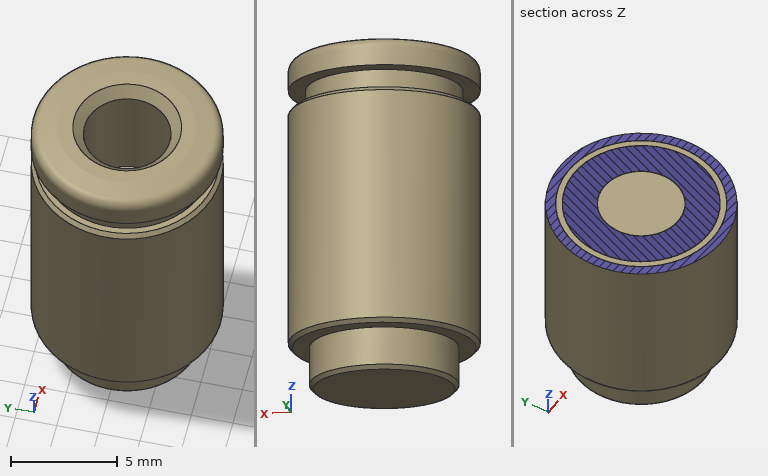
import cadquery as cq
import math

total_height = 16.0
outer_diameter = 9.0
outer_radius = outer_diameter / 2

foot_diameter = 7.0
foot_height = 2.0
foot_chamfer = 0.2
barrel_top = 13.47
barrel_chamfer = 0.2
socket_diameter = 8.0

neck_diameter = 7.4
neck_insertion = 3.2
flange_bottom = 14.5
crown_flat_diameter = 6.5
crown_slope = math.radians(9)
rim_radius = 0.48

bore_diameter = 4.1
bore_chamfer = 0.5

neck_bottom = barrel_top - neck_insertion


def cylinder(diameter, bottom, top):
    """Vertical cylinder on the Z axis between two heights."""
    return cq.Workplane("XY").workplane(offset=bottom).circle(diameter / 2).extrude(top - bottom)


def make_body():
    foot = cylinder(foot_diameter, 0, foot_height).faces("<Z").chamfer(foot_chamfer)
    barrel = cylinder(outer_diameter, foot_height, barrel_top).edges().chamfer(barrel_chamfer)
    socket = cylinder(socket_diameter, neck_bottom, barrel_top)
    return foot.union(barrel).cut(socket)


def make_flange():
    """Flange with a shallow conical crown that runs tangent into a rounded rim."""
    flat_radius = crown_flat_diameter / 2
    normal_angle = math.pi / 2 - crown_slope
    rim_center_radius = outer_radius - rim_radius
    crown_edge_radius = rim_center_radius + rim_radius * math.cos(normal_angle)
    crown_edge_height = total_height - (crown_edge_radius - flat_radius) * math.tan(crown_slope)
    rim_center_height = crown_edge_height - rim_radius * math.sin(normal_angle)
    rim_middle = (
        rim_center_radius + rim_radius * math.cos(normal_angle / 2),
        rim_center_height + rim_radius * math.sin(normal_angle / 2),
    )
    profile = (
        cq.Workplane("XZ")
        .moveTo(0, flange_bottom)
        .lineTo(outer_radius, flange_bottom)
        .lineTo(outer_radius, rim_center_height)
        .threePointArc(rim_middle, (crown_edge_radius, crown_edge_height))
        .lineTo(flat_radius, total_height)
        .lineTo(0, total_height)
        .close()
    )
    return profile.revolve(360, (0, 0, 0), (0, 1, 0))


def make_release_ring():
    ring = make_flange().union(cylinder(neck_diameter, neck_bottom, flange_bottom))
    ring = ring.cut(cylinder(bore_diameter, neck_bottom, total_height))
    bore_mouth = cq.selectors.RadiusNthSelector(0)
    return ring.faces(">Z").edges(bore_mouth).chamfer(bore_chamfer)


body = make_body()
release_ring = make_release_ring()

result = cq.Compound.makeCompound([body.val(), release_ring.val()])